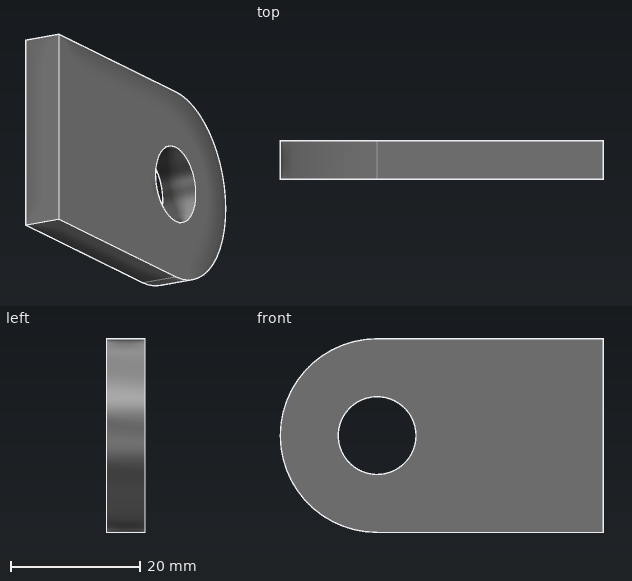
import cadquery as cq

length = 50.0
thickness = 6.0
height = 30.0
hole_diameter = 12.0

end_radius = height / 2
straight_length = length - end_radius

back_face = cq.Workplane("XZ", origin=(0, thickness / 2, 0))


def make_plate():
    """Flat lug with a full-round end at -X and a square end at +X."""
    return (
        back_face.moveTo(0, end_radius)
        .lineTo(straight_length, end_radius)
        .lineTo(straight_length, -end_radius)
        .lineTo(0, -end_radius)
        .threePointArc((-end_radius, 0), (0, end_radius))
        .close()
        .extrude(thickness)
    )


def make_hole():
    """Through-hole cutter, concentric with the rounded end."""
    return back_face.circle(hole_diameter / 2).extrude(thickness)


result = make_plate().cut(make_hole())